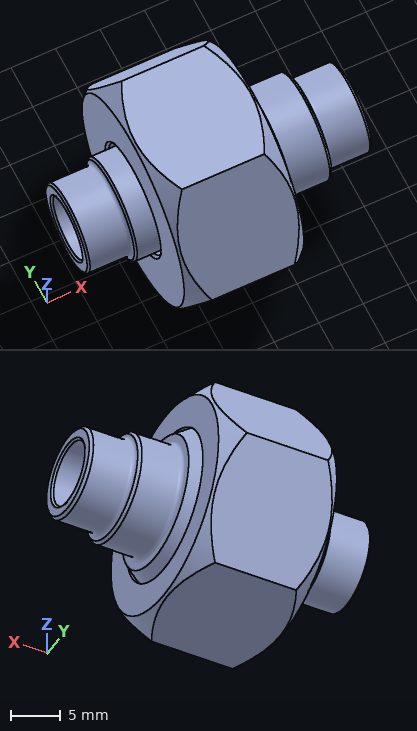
import cadquery as cq
import math

TOTAL_LENGTH = 32.0
BORE_RADIUS = 7.0 / 2
BORE_CHAMFER = 0.22
PIPE_RADIUS = 10.0 / 2

NUT_START = 7.5
NUT_END = 20.95
ACROSS_FLATS = 24.0
NUT_FACE_RADIUS = 11.75
LIP_LENGTH = 2.55
LIP_RADIUS = 12.3 / 2
LIP_CHAMFER = 0.3
THREAD_RADIUS = 16.6 / 2

TAIL_PIPE_CHAMFER = 0.22
COLLAR_START = 4.93
COLLAR_RADIUS = 11.5 / 2
COLLAR_CHAMFER = 0.22
TAIL_FILLET = 0.4
FLANGE_RADIUS = 14.95 / 2
FLANGE_LENGTH = 2.88

CONE_START = 20.5
CONE_END = 22.0
CONE_END_RADIUS = 14.5 / 2
SHANK_RADIUS = 12.0 / 2
SHANK_END = 27.0
BODY_CHAMFER = 0.32
BODY_FILLET = 0.45

SHOULDER = NUT_START + LIP_LENGTH
JOINT = SHOULDER + FLANGE_LENGTH


def revolve(profile):
    """Revolve a closed profile, drawn as (X, radius), about the pipe axis."""
    return profile.close().revolve(360, (0, 0, 0), (1, 0, 0))


def fillet_after_face(profile, face_x, radius, fillet):
    """Drop down a face and round tangentially into a cylinder to its right."""
    sag = fillet * (1 - math.sqrt(0.5))
    return profile.lineTo(face_x, radius + fillet).threePointArc(
        (face_x + sag, radius + sag), (face_x + fillet, radius)
    )


def fillet_before_face(profile, face_x, radius, fillet):
    """Follow a cylinder and round tangentially up into a face at its right end."""
    sag = fillet * (1 - math.sqrt(0.5))
    return profile.lineTo(face_x - fillet, radius).threePointArc(
        (face_x - sag, radius + sag), (face_x, radius + fillet)
    )


def make_nut():
    """Hexagon nut with corners along Y, chamfered ends, lip and threaded bore."""
    length = NUT_END - NUT_START
    across_corners = ACROSS_FLATS / math.cos(math.pi / 6)
    hexagon = (
        cq.Workplane("YZ").workplane(offset=NUT_START).polygon(6, across_corners).extrude(length)
    )

    corner_radius = across_corners / 2
    corner_chamfer = corner_radius - NUT_FACE_RADIUS
    envelope = revolve(
        cq.Workplane("XY")
        .moveTo(NUT_START, 0)
        .lineTo(NUT_START, NUT_FACE_RADIUS)
        .lineTo(NUT_START + corner_chamfer, corner_radius)
        .lineTo(NUT_END - corner_chamfer, corner_radius)
        .lineTo(NUT_END, NUT_FACE_RADIUS)
        .lineTo(NUT_END, 0)
    )
    opening = revolve(
        cq.Workplane("XY")
        .moveTo(NUT_START, 0)
        .lineTo(NUT_START, LIP_RADIUS + LIP_CHAMFER)
        .lineTo(NUT_START + LIP_CHAMFER, LIP_RADIUS)
        .lineTo(SHOULDER, LIP_RADIUS)
        .lineTo(SHOULDER, THREAD_RADIUS)
        .lineTo(NUT_END, THREAD_RADIUS)
        .lineTo(NUT_END, 0)
    )
    return hexagon.intersect(envelope).cut(opening)


def make_tailpiece():
    """Left pipe end with a collar and the flange caught behind the nut lip."""
    profile = (
        cq.Workplane("XY")
        .moveTo(JOINT, BORE_RADIUS)
        .lineTo(BORE_CHAMFER, BORE_RADIUS)
        .lineTo(0, BORE_RADIUS + BORE_CHAMFER)
        .lineTo(0, PIPE_RADIUS - TAIL_PIPE_CHAMFER)
        .lineTo(TAIL_PIPE_CHAMFER, PIPE_RADIUS)
    )
    profile = (
        fillet_before_face(profile, COLLAR_START, PIPE_RADIUS, TAIL_FILLET)
        .lineTo(COLLAR_START, COLLAR_RADIUS - COLLAR_CHAMFER)
        .lineTo(COLLAR_START + COLLAR_CHAMFER, COLLAR_RADIUS)
    )
    profile = (
        fillet_before_face(profile, SHOULDER, COLLAR_RADIUS, TAIL_FILLET)
        .lineTo(SHOULDER, FLANGE_RADIUS)
        .lineTo(JOINT, FLANGE_RADIUS)
    )
    return revolve(profile)


def make_threaded_body():
    """Right pipe end with a stepped shank and the thread that fills the nut."""
    profile = (
        cq.Workplane("XY")
        .moveTo(JOINT, BORE_RADIUS)
        .lineTo(JOINT, THREAD_RADIUS)
        .lineTo(CONE_START, THREAD_RADIUS)
        .lineTo(CONE_END, CONE_END_RADIUS)
    )
    profile = (
        fillet_after_face(profile, CONE_END, SHANK_RADIUS, BODY_FILLET)
        .lineTo(SHANK_END - BODY_CHAMFER, SHANK_RADIUS)
        .lineTo(SHANK_END, SHANK_RADIUS - BODY_CHAMFER)
    )
    profile = (
        fillet_after_face(profile, SHANK_END, PIPE_RADIUS, BODY_FILLET)
        .lineTo(TOTAL_LENGTH - BODY_CHAMFER, PIPE_RADIUS)
        .lineTo(TOTAL_LENGTH, PIPE_RADIUS - BODY_CHAMFER)
        .lineTo(TOTAL_LENGTH, BORE_RADIUS + BORE_CHAMFER)
        .lineTo(TOTAL_LENGTH - BORE_CHAMFER, BORE_RADIUS)
    )
    return revolve(profile)


nut = make_nut()
tailpiece = make_tailpiece()
threaded_body = make_threaded_body()

result = cq.Compound.makeCompound([nut.val(), tailpiece.val(), threaded_body.val()])